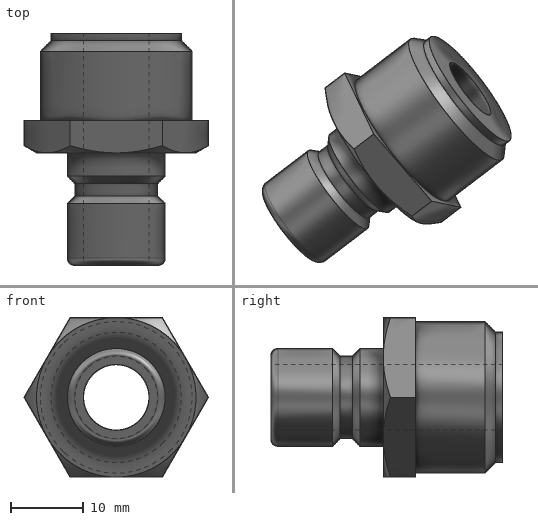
import cadquery as cq
import math

total_length = 32.0
groove_start = 8.5
groove_floor_length = 1.7
hex_front = 15.52
hex_thickness = 4.48
end_collar_length = 1.0

bore_radius = 4.5
plug_radius = 6.75
groove_depth = 1.05
tip_fillet = 1.0
body_radius = 10.45
end_collar_radius = 9.0

hex_across_flats = 22.0
hex_chamfer_angle = 30.0

hex_back = hex_front + hex_thickness
hex_inner_radius = hex_across_flats / 2
hex_corner_radius = hex_inner_radius / math.cos(math.radians(30))


def revolve_about_y(points):
    """Revolve a closed (radius, y) outline around the Y axis."""
    return cq.Workplane("XY").polyline(points).close().revolve(360, (0, 0, 0), (0, 1, 0))


def make_plug():
    """Grooved plug with a rounded tip."""
    groove_radius = plug_radius - groove_depth
    floor_start = groove_start + groove_depth
    floor_end = floor_start + groove_floor_length
    plug = revolve_about_y([
        (0, 0),
        (plug_radius, 0),
        (plug_radius, groove_start),
        (groove_radius, floor_start),
        (groove_radius, floor_end),
        (plug_radius, floor_end + groove_depth),
        (plug_radius, hex_front),
        (0, hex_front),
    ])
    return plug.faces("<Y").edges().fillet(tip_fillet)


def make_hex():
    """Hexagonal collar whose front corners are cut back by a cone."""
    collar = (
        cq.Workplane("XZ", origin=(0, hex_front, 0))
        .polygon(6, 2 * hex_corner_radius)
        .extrude(-hex_thickness)
    )
    cone_rise = hex_thickness * math.tan(math.radians(90 - hex_chamfer_angle))
    trimming_cone = revolve_about_y([
        (0, hex_front),
        (hex_inner_radius, hex_front),
        (hex_inner_radius + cone_rise, hex_back),
        (0, hex_back),
    ])
    return collar.intersect(trimming_cone)


def make_body():
    """Large cylinder with a 45 degree shoulder down to the end collar."""
    shoulder_end = total_length - end_collar_length
    shoulder_start = shoulder_end - (body_radius - end_collar_radius)
    return revolve_about_y([
        (0, hex_back),
        (body_radius, hex_back),
        (body_radius, shoulder_start),
        (end_collar_radius, shoulder_end),
        (end_collar_radius, total_length),
        (0, total_length),
    ])


bore = cq.Workplane("XZ").circle(bore_radius).extrude(-total_length)

result = make_plug().union(make_hex()).union(make_body()).cut(bore)